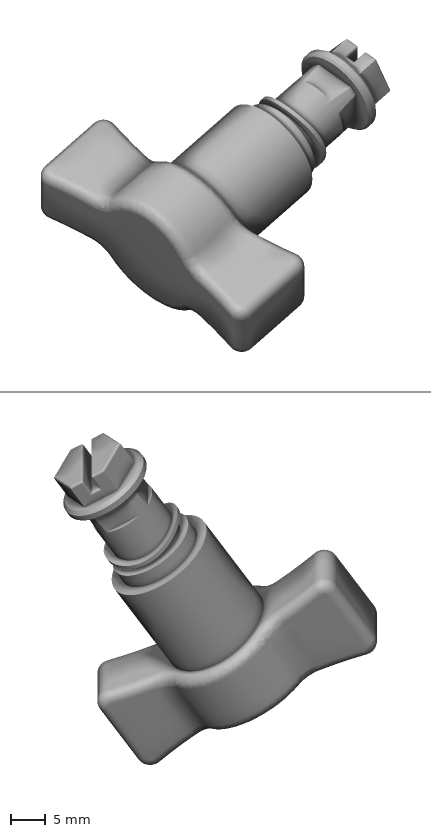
import cadquery as cq
import math


KNOB_DEPTH = 14.4
KNOB_SPAN = 40.0
HUB_DIAMETER = 20.0
HUB_RADIUS = HUB_DIAMETER / 2
WING_HEIGHT = 10.0
WING_BLEND_RADIUS = 4.0
TIP_RADIUS = 2.0
RIM_RADIUS = 1.5
DISH_RADIUS = 80.2
KNOB_MIDDLE = KNOB_DEPTH / 2

BOSS_RADIUS = 8.0
BOSS_END = 28.2
COLLAR_RADIUS = 6.4
COLLAR_END = 30.5
SHAFT_RADIUS = 5.0
SHAFT_END = 38.0

NECK_WIDTH = 8.5
NECK_TAPER = 4

WASHER_RADIUS = 6.25
WASHER_THICKNESS = 0.6
WASHER_START = 31.4
WASHER_BEND_RADIUS = 18.6

FLANGE_RADIUS = 6.8
FLANGE_START = 41.95
FLANGE_END = 43.75
FLANGE_FRONT_BEVEL = 0.35
FLANGE_BACK_BEVEL = 0.53
HEAD_END = 47.75
HEAD_ACROSS_FLATS = 9.75
HEAD_ROUNDING = 0.35
SLOT_WIDTH = 1.35
SLOT_DEPTH = 2.45


def disc(radius, start, end):
    """Cylinder about the Y axis from Y = start to Y = end."""
    return cq.Workplane("XZ", origin=(0, start, 0)).circle(radius).extrude(start - end)


def knob_plan():
    """Bow-tie plan of the knob: a shallow arc front and back, spreading to the wing tips."""
    half_span = KNOB_SPAN / 2
    rounding_reach = math.sqrt((DISH_RADIUS + TIP_RADIUS) ** 2 - (half_span - TIP_RADIUS) ** 2)
    dish_centre = KNOB_MIDDLE - TIP_RADIUS + rounding_reach
    waist = dish_centre - DISH_RADIUS
    sharp_tip = dish_centre - math.sqrt(DISH_RADIUS ** 2 - half_span ** 2)
    return (
        cq.Workplane("XY", origin=(0, KNOB_MIDDLE, -HUB_RADIUS))
        .moveTo(-half_span, -sharp_tip)
        .threePointArc((0, -waist), (half_span, -sharp_tip))
        .lineTo(half_span, sharp_tip)
        .threePointArc((0, waist), (-half_span, sharp_tip))
        .close()
        .extrude(2 * HUB_RADIUS)
        .edges("|Z")
        .fillet(TIP_RADIUS)
    )


def knob_front():
    """Round hub with two wings, blended together, as a bar along Y longer than the knob is deep."""
    half_span = KNOB_SPAN / 2
    half_height = WING_HEIGHT / 2
    blend_z = half_height + WING_BLEND_RADIUS
    blend_x = math.sqrt((HUB_RADIUS + WING_BLEND_RADIUS) ** 2 - blend_z ** 2)
    hub_share = HUB_RADIUS / (HUB_RADIUS + WING_BLEND_RADIUS)
    hub_x = blend_x * hub_share
    hub_z = blend_z * hub_share
    return (
        cq.Workplane("XZ", origin=(0, -KNOB_MIDDLE, 0))
        .moveTo(-half_span, half_height)
        .lineTo(-blend_x, half_height)
        .radiusArc((-hub_x, hub_z), -WING_BLEND_RADIUS)
        .threePointArc((0, HUB_RADIUS), (hub_x, hub_z))
        .radiusArc((blend_x, half_height), -WING_BLEND_RADIUS)
        .lineTo(half_span, half_height)
        .lineTo(half_span, -half_height)
        .lineTo(blend_x, -half_height)
        .radiusArc((hub_x, -hub_z), -WING_BLEND_RADIUS)
        .threePointArc((0, -HUB_RADIUS), (-hub_x, -hub_z))
        .radiusArc((-blend_x, -half_height), -WING_BLEND_RADIUS)
        .lineTo(-half_span, -half_height)
        .close()
        .extrude(-2 * KNOB_DEPTH)
    )


def wing_knob():
    body = knob_plan().intersect(knob_front())
    for wall in (">Z", "<Z"):
        body = body.faces(wall).edges("<Y").fillet(RIM_RADIUS)
    return body


def stepped_shaft():
    boss = disc(BOSS_RADIUS, KNOB_MIDDLE, BOSS_END)
    collar = disc(COLLAR_RADIUS, BOSS_END, COLLAR_END)
    shaft = disc(SHAFT_RADIUS, COLLAR_END, SHAFT_END)
    return boss.union(collar).union(shaft)


def square_neck():
    """Tapered square whose corners are turned to the shaft diameter."""
    length = FLANGE_START - SHAFT_END
    taper = (
        cq.Workplane("XZ", origin=(0, SHAFT_END, 0))
        .rect(NECK_WIDTH, NECK_WIDTH)
        .extrude(-length, taper=NECK_TAPER)
    )
    return taper.intersect(disc(SHAFT_RADIUS, SHAFT_END, FLANGE_START))


def spring_washer():
    """Disc bent about an axis along Z, its ends curling towards the head."""
    bend_centre = WASHER_START + WASHER_BEND_RADIUS
    shell = (
        cq.Workplane("XY", origin=(0, bend_centre, -WASHER_RADIUS))
        .circle(WASHER_BEND_RADIUS)
        .circle(WASHER_BEND_RADIUS - WASHER_THICKNESS)
        .extrude(2 * WASHER_RADIUS)
    )
    return shell.intersect(disc(WASHER_RADIUS, COLLAR_END, SHAFT_END))


def screw_head():
    flange = disc(FLANGE_RADIUS, FLANGE_START, FLANGE_END)
    flange = flange.edges("<Y").chamfer(FLANGE_FRONT_BEVEL)
    flange = flange.edges(">Y").chamfer(FLANGE_BACK_BEVEL)
    across_corners = HEAD_ACROSS_FLATS / math.cos(math.pi / 6)
    hexagon = (
        cq.Workplane("XZ", origin=(0, FLANGE_END, 0))
        .polygon(6, across_corners)
        .extrude(FLANGE_END - HEAD_END)
    )
    slot = (
        cq.Workplane("XY", origin=(0, HEAD_END, 0))
        .rect(SLOT_WIDTH, 2 * SLOT_DEPTH)
        .extrude(HEAD_ACROSS_FLATS, both=True)
    )
    hexagon = hexagon.cut(slot)
    end_edges = hexagon.faces(">Y").edges()
    slot_edges = hexagon.faces(">Z or <Z").edges("not (<X or >X or <Y or >Y)")
    hexagon = end_edges.add(slot_edges).fillet(HEAD_ROUNDING)
    return flange.union(hexagon)


result = (
    wing_knob()
    .union(stepped_shaft())
    .union(square_neck())
    .union(spring_washer())
    .union(screw_head())
)